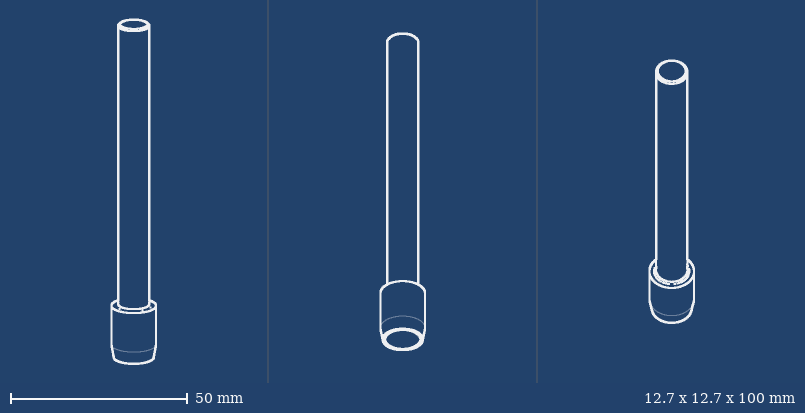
import cadquery as cq

total_length = 100.0
rod_diameter = 8.9
rod_chamfer = 0.5

collar_diameter = 12.7
collar_end_diameter = 11.4
collar_height = 16.0
collar_crown_height = 0.5
collar_taper_height = 3.8

shank_diameter = 10.0
shank_cover = 0.5
shank_height = collar_height - shank_cover


def make_rod():
    """Full-length rod with a chamfered upper end and a slightly thicker lower shank."""
    rod = cq.Workplane("XY").circle(rod_diameter / 2).extrude(total_length)
    rod = rod.faces(">Z").chamfer(rod_chamfer)
    shank = cq.Workplane("XY").circle(shank_diameter / 2).extrude(shank_height)
    return rod.union(shank)


def make_collar():
    """Revolved sleeve: tapered lower end, cylindrical middle, conical crown and stepped bore."""
    rod_radius = rod_diameter / 2
    shank_radius = shank_diameter / 2
    collar_radius = collar_diameter / 2
    return (
        cq.Workplane("XZ")
        .moveTo(shank_radius, 0)
        .lineTo(collar_end_diameter / 2, 0)
        .lineTo(collar_radius, collar_taper_height)
        .lineTo(collar_radius, collar_height - collar_crown_height)
        .lineTo(rod_radius, collar_height)
        .lineTo(rod_radius, shank_height)
        .lineTo(shank_radius, shank_height)
        .close()
        .revolve(360, (0, 0, 0), (0, 1, 0))
    )


rod = make_rod()
collar = make_collar()

result = cq.Compound.makeCompound([rod.val(), collar.val()])